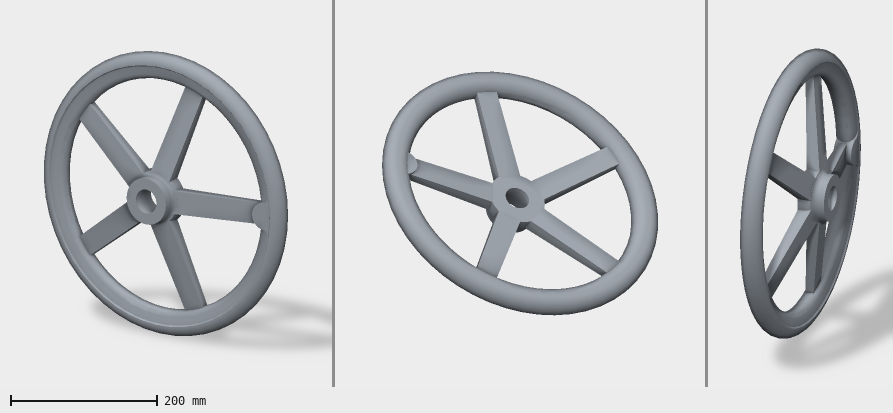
import cadquery as cq
import math

rim_radius = 200.0
rim_thickness = 31.5
step_radius = rim_radius - 16.0
step_floor_radius = 182.5
rim_inner_radius = 162.8
rim_inner_depth = 14.5
recess_inner_radius = 170.8
recess_outer_depth = 2.0
recess_inner_depth = 4.8

hub_front = -31.0
hub_back = 4.8
bore_radius = 34.0 / 2
collar_radius = 65.0 / 2
collar_end = -19.5
flange_front = -13.5
flange_front_radius = 38.0
hub_back_radius = 40.0

spoke_count = 5
spoke_root = 24.0
spoke_tip = 174.0
spoke_root_width = 32.8
spoke_tip_width = 30.0
spoke_front_at_root = -16.0
spoke_front_at_tip = 12.8
spoke_root_thickness = 19.0
spoke_tip_thickness = 11.0

boss_radius = 19.0
boss_center = 172.8
boss_front = 1.0
boss_back = 27.0
boss_fillet = 10.0


def revolve_about_y(profile):
    return profile.close().revolve(360, (0, 0, 0), (0, 1, 0))


def make_rim():
    """Rounded rim with a small step and a conical recess on its front face."""
    mid = rim_thickness / 2
    back_tangent = rim_inner_radius + rim_thickness - rim_inner_depth
    return revolve_about_y(
        cq.Workplane("XY")
        .moveTo(step_radius, 0)
        .threePointArc((rim_radius, mid), (step_radius, rim_thickness))
        .lineTo(back_tangent, rim_thickness)
        .tangentArcPoint((rim_inner_radius, rim_inner_depth), relative=False)
        .tangentArcPoint((recess_inner_radius, recess_inner_depth), relative=False)
        .lineTo(step_floor_radius, recess_outer_depth)
    )


def make_hub():
    """Collar that flares through a concave fillet into a slightly tapered body."""
    return revolve_about_y(
        cq.Workplane("XY")
        .moveTo(0, hub_front)
        .lineTo(collar_radius, hub_front)
        .lineTo(collar_radius, collar_end)
        .tangentArcPoint((flange_front_radius, flange_front), relative=False)
        .lineTo(hub_back_radius, hub_back)
        .lineTo(0, hub_back)
    )


def make_spoke():
    """Spoke along +X, tapered in width and thickness and dished toward the hub."""
    sections = [
        (spoke_root, spoke_root_width, spoke_front_at_root, spoke_root_thickness),
        (spoke_tip, spoke_tip_width, spoke_front_at_tip, spoke_tip_thickness),
    ]
    wires = []
    for radius, width, front, thickness in sections:
        corners = [
            cq.Vector(radius, front, -width / 2),
            cq.Vector(radius, front + thickness, -width / 2),
            cq.Vector(radius, front + thickness, width / 2),
            cq.Vector(radius, front, width / 2),
        ]
        wires.append(cq.Wire.makePolygon(corners, close=True))
    return cq.Workplane(obj=cq.Solid.makeLoft(wires, True))


def make_boss():
    """Handle boss at the +X spoke, blended into the step wall by two fillet arcs."""
    fillet_orbit = step_floor_radius - boss_fillet
    to_boss = boss_radius + boss_fillet
    fillet_x = (fillet_orbit**2 + boss_center**2 - to_boss**2) / (2 * boss_center)
    fillet_z = math.sqrt(fillet_orbit**2 - fillet_x**2)
    touch = boss_radius / to_boss
    boss_x = boss_center + (fillet_x - boss_center) * touch
    boss_z = fillet_z * touch
    wall_x = fillet_x * step_floor_radius / fillet_orbit
    wall_z = fillet_z * step_floor_radius / fillet_orbit
    start_angle = math.atan2(boss_z - fillet_z, boss_x - fillet_x)
    end_angle = math.atan2(wall_z - fillet_z, wall_x - fillet_x)
    middle = (start_angle + end_angle) / 2
    mid_x = fillet_x + boss_fillet * math.cos(middle)
    mid_z = fillet_z + boss_fillet * math.sin(middle)
    return (
        cq.Workplane("XZ", origin=(0, boss_front, 0))
        .moveTo(wall_x, wall_z)
        .threePointArc((mid_x, mid_z), (boss_x, boss_z))
        .threePointArc((boss_center - boss_radius, 0), (boss_x, -boss_z))
        .threePointArc((mid_x, -mid_z), (wall_x, -wall_z))
        .threePointArc((step_floor_radius, 0), (wall_x, wall_z))
        .close()
        .extrude(boss_front - boss_back)
    )


result = make_rim().union(make_hub()).union(make_boss())
for index in range(spoke_count):
    angle = 360 / spoke_count * index
    result = result.union(make_spoke().rotate((0, 0, 0), (0, 1, 0), angle))

bore = cq.Workplane("XZ", origin=(0, hub_front, 0)).circle(bore_radius).extrude(hub_front - hub_back)
result = result.cut(bore)